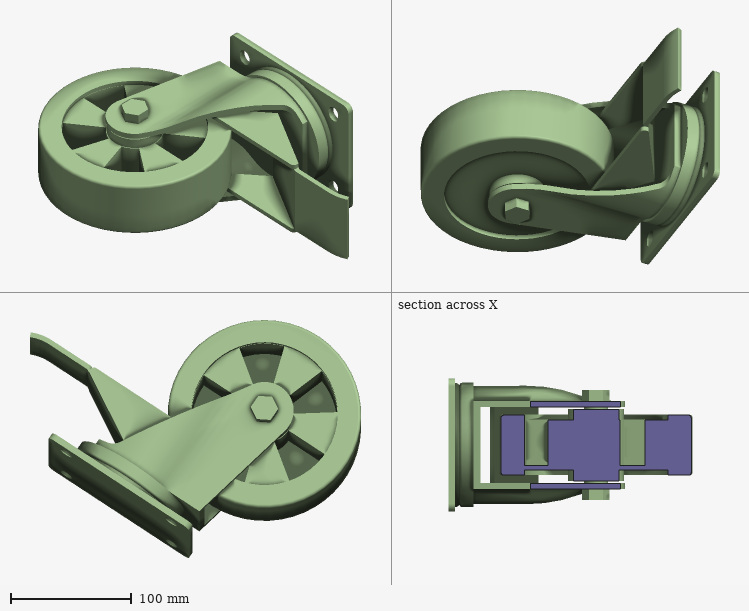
import cadquery as cq
import math


total_length = 278.3
total_height = 202.0

wheel_diameter = 160.0
wheel_width = 50
tread_round = 2.5
rim_inner_diameter = 121.4
face_recess = 4.2
hub_diameter = 48.0
pocket_outer_diameter = 120.8
spoke_count = 5
pocket_floor = 4.2

flange_diameter = 46.5
flange_to_flange = 59.5
axle_diameter = 20.0
nut_across_flats = 19.8
nut_height = 9.2

plate_length = 140.0
plate_width = 110.0
plate_thickness = 5.3
plate_corner_radius = 6.0
slot_spacing_x = 105.0
slot_spacing_z = 77.7
slot_width = 11
slot_length = 14

swivel_x = 63.2
head_diameter = 103
race_height = 4.0
race_taper = 2.0
head_height = 11.7
head_round = 2.2

leg_inner_z = 31.5
leg_thickness = 5.0
crown_thickness = 5.5
bulge_radius = 49.0
bend_start_x = 19.5
fork_left_x = -3.0
fork_right_x = 100.8
leg_end_radius = 24.2
skirt_round = 11.7
skirt_corner_x = 86.3

lever_thickness = 4.2
lever_bottom_y = 47.5
lever_left_x = 30.5
web_top_x = 79.5
web_top_y = 87.7
cheek_end_x = 139.2
cheek_round = 3.5
web_slope = math.radians(30)
pedal_flat_end_x = 180.0
pedal_radius = 41.7

wheel_radius = wheel_diameter / 2
pedal_tip_x = total_length - wheel_radius
plate_top_y = total_height - wheel_radius
plate_bottom_y = plate_top_y - plate_thickness
head_top_y = plate_bottom_y - race_height
crown_top_y = head_top_y - head_height
crown_bottom_y = crown_top_y - crown_thickness
leg_outer_z = leg_inner_z + leg_thickness


def disc(diameter, width):
    """A disc about the wheel axis, centred on Z = 0."""
    return cq.Workplane("XY").circle(diameter / 2).extrude(width).translate((0, 0, -width / 2))


def slab(sketch, bottom_z, top_z):
    """A closed outline in the XY plane, extruded between two Z levels."""
    return sketch.extrude(top_z - bottom_z).translate((0, 0, bottom_z))


def polar(radius, degrees):
    angle = math.radians(degrees)
    return (radius * math.cos(angle), radius * math.sin(angle))


def make_wheel():
    wheel = disc(wheel_diameter, wheel_width).edges().fillet(tread_round)
    spoke_face_z = wheel_width / 2 - face_recess
    ring = cq.Workplane("XY").circle(rim_inner_diameter / 2).extrude(face_recess)
    wheel = wheel.cut(ring.translate((0, 0, spoke_face_z)))
    wheel = wheel.cut(ring.translate((0, 0, -wheel_width / 2)))

    hub_radius = hub_diameter / 2
    outer_radius = pocket_outer_diameter / 2
    pocket_angle = 180 / spoke_count
    for index in range(spoke_count):
        start = 2 * pocket_angle * index
        middle = start + pocket_angle / 2
        end = start + pocket_angle
        pocket = (
            cq.Workplane("XY")
            .moveTo(*polar(hub_radius, start))
            .lineTo(*polar(outer_radius, start))
            .threePointArc(polar(outer_radius, middle), polar(outer_radius, end))
            .lineTo(*polar(hub_radius, end))
            .threePointArc(polar(hub_radius, middle), polar(hub_radius, start))
            .close()
        )
        wheel = wheel.cut(slab(pocket, pocket_floor - spoke_face_z, spoke_face_z))
    return wheel


def make_axle():
    axle = disc(flange_diameter, flange_to_flange)
    axle = axle.union(disc(axle_diameter, 2 * leg_outer_z))
    half_side_angle = 30
    across_corners = nut_across_flats / math.cos(math.radians(half_side_angle))
    nuts = slab(
        cq.Workplane("XY").polygon(6, across_corners),
        -leg_outer_z - nut_height,
        leg_outer_z + nut_height,
    )
    nuts = nuts.rotate((0, 0, 0), (0, 0, 1), half_side_angle)
    return axle.union(nuts.cut(disc(2 * across_corners, 2 * leg_outer_z)))


def make_mounting_plate():
    plane = cq.Workplane("XZ", origin=(swivel_x, plate_bottom_y, 0))
    plate = plane.rect(plate_length, plate_width).extrude(-plate_thickness)
    plate = plate.edges("|Y").fillet(plate_corner_radius)
    slots = (
        plane.rect(slot_spacing_x, slot_spacing_z, forConstruction=True)
        .vertices()
        .slot2D(slot_length, slot_width, 90)
        .extrude(-plate_thickness)
    )
    return plate.cut(slots)


def make_swivel_head():
    head_radius = head_diameter / 2
    plane = cq.Workplane("XZ", origin=(swivel_x, crown_top_y, 0))
    head = plane.circle(head_radius).extrude(-head_height)
    head = head.edges(">Y").fillet(head_round)

    curve_radius = (race_height**2 + race_taper**2) / (2 * race_taper)
    curve_angle = math.asin(race_height / curve_radius)
    middle_inset = curve_radius * (1 - math.cos(curve_angle / 2))
    middle_drop = curve_radius * math.sin(curve_angle / 2)
    race = (
        cq.Workplane("XY")
        .moveTo(0, plate_bottom_y)
        .lineTo(head_radius, plate_bottom_y)
        .threePointArc(
            (head_radius - middle_inset, plate_bottom_y - middle_drop),
            (head_radius - race_taper, head_top_y),
        )
        .lineTo(0, head_top_y)
        .close()
        .revolve(360, (0, 0, 0), (0, 1, 0))
        .translate((swivel_x, 0, 0))
    )
    return head.union(race)


bend_run = swivel_x - bend_start_x
bend_outer_radius = (bend_run**2 + leg_outer_z**2 - bulge_radius**2) / (2 * (bulge_radius - leg_outer_z))
bend_centre_z = leg_outer_z + bend_outer_radius
bend_angle = math.asin(bend_run / (bulge_radius + bend_outer_radius))


def bend_point(radius, angle):
    return (bend_start_x + radius * math.sin(angle), bend_centre_z - radius * math.cos(angle))


def bulge_point(radius, angle):
    return (swivel_x + radius * math.sin(angle), radius * math.cos(angle))


def fork_section(offset, depth):
    """The fork's plan down to Z = 0, its curved edge moved inward by offset, extruded down by depth."""
    radius = bulge_radius - offset
    bend_radius = bend_outer_radius + offset
    end_angle = math.asin((fork_right_x - swivel_x) / radius)
    plan = (
        cq.Workplane("XZ", origin=(0, crown_top_y, 0))
        .moveTo(-leg_end_radius, 0)
        .lineTo(-leg_end_radius, leg_outer_z - offset)
        .lineTo(bend_start_x, leg_outer_z - offset)
        .threePointArc(bend_point(bend_radius, bend_angle / 2), bend_point(bend_radius, bend_angle))
        .threePointArc(bulge_point(radius, 0), bulge_point(radius, end_angle))
        .lineTo(fork_right_x, 0)
        .close()
    )
    return plan.extrude(depth)


def fork_side_profile():
    """The fork's outline seen along the wheel axis, cut from the crown down to the axle."""
    skirt_start_y = -math.sqrt(leg_end_radius**2 - bend_start_x**2)
    front_distance = math.hypot(fork_left_x, crown_top_y)
    front_angle = math.atan2(crown_top_y, fork_left_x) + math.acos(leg_end_radius / front_distance)
    front_tangent = polar(leg_end_radius, math.degrees(front_angle))
    outline = (
        cq.Workplane("XY")
        .moveTo(fork_left_x, crown_top_y)
        .lineTo(fork_right_x, crown_top_y)
        .lineTo(fork_right_x, crown_bottom_y)
        .lineTo(skirt_corner_x, crown_bottom_y)
        .lineTo(bend_start_x, skirt_start_y)
        .threePointArc((0, -leg_end_radius), front_tangent)
        .close()
    )
    profile = slab(outline, -bulge_radius, bulge_radius)
    corner = cq.selectors.NearestToPointSelector((skirt_corner_x, crown_bottom_y, 0))
    return profile.edges("|Z").edges(corner).fillet(skirt_round)


def make_fork():
    depth = crown_top_y + leg_end_radius
    half = fork_section(0, depth)
    inside = fork_section(leg_thickness, depth).translate((0, -crown_thickness, 0))
    half = half.cut(inside)
    fork = half.union(half.mirror("XY"))
    return fork.intersect(fork_side_profile())


def make_lever():
    fall = math.tan(web_slope)
    web_drop = lever_thickness / math.cos(web_slope)
    pedal_top_y = lever_bottom_y + lever_thickness
    upper_bend_x = web_top_x + (web_top_y - pedal_top_y) / fall
    lower_bend_x = web_top_x + (web_top_y - web_drop - lever_bottom_y) / fall

    arc_centre_y = lever_bottom_y + pedal_radius
    tip_angle = math.asin((pedal_tip_x - pedal_flat_end_x) / pedal_radius)

    def pedal_point(radius, angle):
        return (pedal_flat_end_x + radius * math.sin(angle), arc_centre_y - radius * math.cos(angle))

    top_radius = pedal_radius - lever_thickness
    strip = (
        cq.Workplane("XY")
        .moveTo(web_top_x, web_top_y)
        .lineTo(upper_bend_x, pedal_top_y)
        .lineTo(pedal_flat_end_x, pedal_top_y)
        .threePointArc(pedal_point(top_radius, tip_angle / 2), pedal_point(top_radius, tip_angle))
        .lineTo(*pedal_point(pedal_radius, tip_angle))
        .threePointArc(pedal_point(pedal_radius, tip_angle / 2), (pedal_flat_end_x, lever_bottom_y))
        .lineTo(lower_bend_x, lever_bottom_y)
        .lineTo(
            web_top_x - lever_thickness * math.sin(web_slope),
            web_top_y - lever_thickness * math.cos(web_slope),
        )
        .close()
    )
    lever = slab(strip, -leg_inner_z, leg_inner_z)

    cheek_end_y = web_top_y - (cheek_end_x - web_top_x) * fall
    cheek_outline = (
        cq.Workplane("XY")
        .moveTo(lever_left_x, lever_bottom_y)
        .lineTo(web_top_x, web_top_y)
        .lineTo(cheek_end_x, cheek_end_y)
        .lineTo(cheek_end_x, lever_bottom_y)
        .close()
    )
    cheek = slab(cheek_outline, leg_inner_z, leg_inner_z + lever_thickness)
    cheek = cheek.edges("|Z and >X").edges("<Y").fillet(cheek_round)
    return lever.union(cheek).union(cheek.mirror("XY"))


result = (
    make_wheel()
    .union(make_axle())
    .union(make_fork())
    .union(make_swivel_head())
    .union(make_mounting_plate())
    .union(make_lever())
)